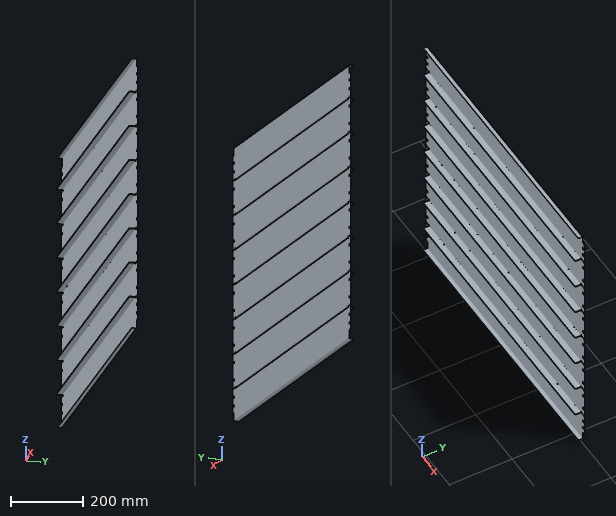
import cadquery as cq

sheet_thickness = 1.5
slat_width = 876.5
slat_pitch = 100.0
slat_count = 8
end_slat_height = 95.0

bend_radius = 1.5
seam_flange_depth = 20.0
seam_flange_length = 839.0
outer_flange_depth = 15.0
outer_flange_length = 857.0
flange_tip_radius = 4.0

corner_radius = 5.5
shoulder_radius = 6.0
notch_height = 23.5

slot_length = 10.5
slot_width = 5.2
slot_edge_distance = 6.25
slot_seam_distance = 25.0
end_slat_slot_spacing = 25.0

bend_outer_radius = bend_radius + sheet_thickness
back_y = seam_flange_depth / 2
front_y = back_y - sheet_thickness
inner_slat_count = slat_count - 2
inner_stack_height = inner_slat_count * slat_pitch


def web_plate(width, height):
    """Flat sheet with its lower edge at Z = 0."""
    plate = cq.Workplane("XY").box(width, sheet_thickness, height, centered=(True, False, False))
    return plate.translate((0, front_y, 0))


def bent_flange(length, depth):
    """Flange along Z = 0 with the bend that joins it to the web above; free corners rounded."""
    flange = (
        cq.Workplane("YZ")
        .moveTo(back_y, bend_outer_radius)
        .radiusArc((back_y - bend_outer_radius, 0), bend_outer_radius)
        .lineTo(back_y - depth, 0)
        .lineTo(back_y - depth, sheet_thickness)
        .lineTo(back_y - bend_outer_radius, sheet_thickness)
        .radiusArc((front_y, bend_outer_radius), -bend_radius)
        .close()
        .extrude(length / 2, both=True)
    )
    return flange.faces("<Y").edges("|Z").fillet(flange_tip_radius)


def fold_edge(web, length, depth):
    """Replace the lower edge strip of a web by a bent flange."""
    flange = bent_flange(length, depth)
    return web.cut(web_plate(length, bend_outer_radius)).union(flange)


def flip(body, height):
    """Turn a slat upside down, keeping its lower edge at Z = 0."""
    return body.mirror("XY").translate((0, 0, height))


def fold_seam_edge(web):
    """Fold a seam flange along the lower edge of a web."""
    return fold_edge(web, seam_flange_length, seam_flange_depth)


def side_slots(levels):
    """Horizontal slots near both side edges at the given heights."""
    slot_x = slat_width / 2 - slot_edge_distance
    centers = [(x, z) for x in (-slot_x, slot_x) for z in levels]
    return (
        cq.Workplane("XZ", origin=(0, back_y, 0))
        .pushPoints(centers)
        .slot2D(slot_length, slot_width)
        .extrude(sheet_thickness)
    )


def make_inner_slat():
    """Channel slat with a seam flange on both long edges."""
    web = web_plate(slat_width, slat_pitch).edges("|Y").fillet(corner_radius)
    slat = fold_seam_edge(flip(fold_seam_edge(web), slat_pitch))
    return slat.cut(side_slots([slot_seam_distance, slat_pitch - slot_seam_distance]))


def make_end_slat():
    """Top slat: seam flange below, narrower notched edge with a shallower flange above."""
    wide_web = (
        web_plate(slat_width, end_slat_height - notch_height)
        .edges("|Y and <Z").fillet(corner_radius)
        .edges("|Y and >Z").fillet(shoulder_radius)
    )
    web = wide_web.union(web_plate(outer_flange_length, end_slat_height))
    seam_folded = flip(fold_seam_edge(web), end_slat_height)
    both_folded = fold_edge(seam_folded, outer_flange_length, outer_flange_depth)
    slat = flip(both_folded, end_slat_height)
    return slat.cut(side_slots([slot_seam_distance, slot_seam_distance + end_slat_slot_spacing]))


inner_slat = make_inner_slat()
inner_slats = [
    inner_slat.translate((0, 0, i * slat_pitch - inner_stack_height / 2))
    for i in range(inner_slat_count)
]

top_slat = make_end_slat().translate((0, 0, inner_stack_height / 2))
bottom_slat = top_slat.mirror("XY")

slats = [bottom_slat, *inner_slats, top_slat]
result = cq.Compound.makeCompound([slat.solids().val() for slat in slats])